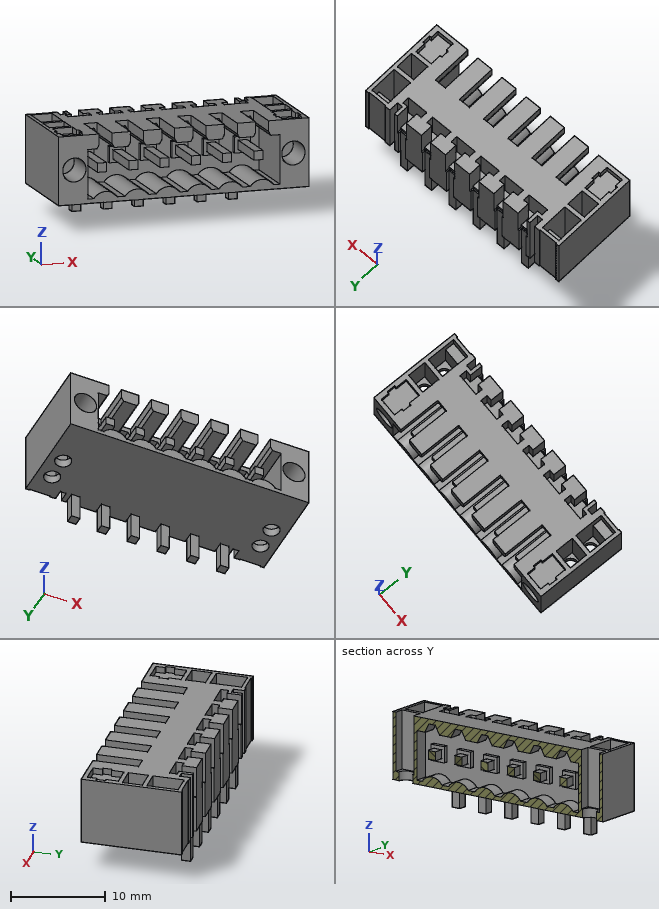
import cadquery as cq


housing_length = 28.0
housing_depth = 11.05
housing_height = 7.5
pin_count = 6
pin_pitch = 3.5
pin_size = 1.0
wall = 0.5

pin_axis_height = 3.53
pin_tip_setback = 1.2
pin_back_setback = 0.35
pin_tail_length = 3.15

cavity_length = 21.5
cavity_roof_height = 5.9
cavity_depth = 7.0
floor_bump_radius = 1.64
floor_bump_height = 0.68
notch_top_height = 6.9
notch_top_width = 0.8
notch_bottom_width = 1.95
slot_width = 1.45
slot_depth = 5.05
collar_size = 1.78
collar_length = 0.5

tee_stem_width = 1.32
tee_stem_length = 1.6
tee_head_width = 2.64
tee_head_length = 0.85
tee_floor_height = 4.4
tee_ledge_depth = 0.5

end_center = 12.25
screw_hole_diameter = 2.6
screw_hole_height = 3.78
peg_hole_diameter = 1.8
end_pocket_width = 2.36
end_pocket_inner_edge = 11.19
end_pocket_floor_height = 1.0
middle_pocket_length = 2.2
back_pocket_step_length = 1.1
back_pocket_step_height = 5.75
back_peg_hole_setback = 2.85
nut_pocket_width = 2.2
nut_pocket_length = 3.4
nut_pocket_drop = 0.7
nut_pocket_ear_span = 2.7
nut_pocket_ear_length = 1.0
nut_pocket_ear_start = 1.53
back_relief_depth = 0.1
end_notch_center = 10.15
end_notch_width = 0.68
end_notch_depth = 1.2

pin_xs = [(i - (pin_count - 1) / 2) * pin_pitch for i in range(pin_count)]
pin_bottom = pin_axis_height - pin_size / 2
pin_top = pin_axis_height + pin_size / 2
pin_back = housing_depth - pin_back_setback
end_pocket_center = end_pocket_inner_edge + end_pocket_width / 2
middle_pocket_front = wall + nut_pocket_length + wall
back_pocket_front = middle_pocket_front + middle_pocket_length + wall
back_pocket_back = housing_depth - wall


def block(x_center, width, y_range, z_range):
    """Box centred on x_center that fills the given Y and Z ranges."""
    y_min, y_max = y_range
    z_min, z_max = z_range
    return (
        cq.Workplane("XY")
        .box(width, y_max - y_min, z_max - z_min, centered=(True, False, False))
        .translate((x_center, y_min, z_min))
    )


def rod(x, z, radius, length):
    """Cylinder along +Y that starts at the mating face."""
    return cq.Workplane("XZ").center(x, z).circle(radius).extrude(-length)


def floor_bump(x):
    """Rounded rib on the cavity floor below one pin."""
    axis_height = wall + floor_bump_height - floor_bump_radius
    above_floor = block(x, pin_pitch, (0, cavity_depth), (wall, cavity_roof_height))
    return rod(x, axis_height, floor_bump_radius, cavity_depth).intersect(above_floor)


def roof_notch(x):
    """Tapered groove in the cavity roof above one pin."""
    return (
        cq.Workplane("XZ")
        .moveTo(x - notch_bottom_width / 2, cavity_roof_height)
        .lineTo(x - notch_top_width / 2, notch_top_height)
        .lineTo(x + notch_top_width / 2, notch_top_height)
        .lineTo(x + notch_bottom_width / 2, cavity_roof_height)
        .close()
        .extrude(-cavity_depth)
    )


def pin_collar(x):
    """Square boss around one pin on the back wall of the cavity."""
    z_range = (pin_axis_height - collar_size / 2, pin_axis_height + collar_size / 2)
    return block(x, collar_size, (cavity_depth - collar_length, cavity_depth), z_range)


def mating_cavity():
    """Space for the plug: floor ribs and collars stay, roof notches and slots open up."""
    cavity = block(0, cavity_length, (0, cavity_depth), (wall, cavity_roof_height))
    for x in pin_xs:
        cavity = cavity.cut(floor_bump(x)).cut(pin_collar(x))
        cavity = cavity.union(roof_notch(x))
        cavity = cavity.union(block(x, slot_width, (0, slot_depth), (cavity_roof_height, housing_height)))
    return cavity


def tee_opening(x):
    """T-shaped well at the back edge above one pin, with a lower ledge at the very back."""
    stem_front = housing_depth - tee_stem_length
    head_front = stem_front - tee_head_length
    ledge_front = housing_depth - tee_ledge_depth
    well = (tee_floor_height, housing_height)
    head = block(x, tee_head_width, (head_front, stem_front), well)
    stem = block(x, tee_stem_width, (stem_front, housing_depth), well)
    ledge = block(x, tee_stem_width, (ledge_front, housing_depth), (pin_top, housing_height))
    return head.union(stem).union(ledge)


def pin_passage(x):
    """Slot from the back and from below, shaped to take the bent pin."""
    leg = block(x, pin_size, (pin_back - pin_size, housing_depth), (0, pin_top))
    arm = block(x, pin_size, (cavity_depth - collar_length, pin_back), (pin_bottom, pin_top))
    return leg.union(arm)


def end_openings(side):
    """Screw hole, pockets, peg holes and back cuts of one end; side is -1 or +1."""
    hole_x = side * end_center
    pocket_x = side * end_pocket_center
    full_height = (0, housing_height)
    pocket_heights = (end_pocket_floor_height, housing_height)

    screw_hole = rod(hole_x, screw_hole_height, screw_hole_diameter / 2, wall + nut_pocket_length)

    middle_back = middle_pocket_front + middle_pocket_length
    middle_pocket = block(pocket_x, end_pocket_width, (middle_pocket_front, middle_back), pocket_heights)

    back_pocket = block(pocket_x, end_pocket_width, (back_pocket_front, back_pocket_back), pocket_heights)
    step_front = back_pocket_back - back_pocket_step_length
    step_heights = (end_pocket_floor_height, back_pocket_step_height)
    back_pocket = back_pocket.cut(
        block(pocket_x, end_pocket_width, (step_front, back_pocket_back), step_heights)
    )

    peg_hole_ys = [middle_pocket_front + middle_pocket_length / 2, housing_depth - back_peg_hole_setback]
    peg_holes = (
        cq.Workplane("XY")
        .pushPoints([(hole_x, y) for y in peg_hole_ys])
        .circle(peg_hole_diameter / 2)
        .extrude(housing_height)
    )

    nut_heights = (housing_height - nut_pocket_drop, housing_height)
    ear_range = (nut_pocket_ear_start, nut_pocket_ear_start + nut_pocket_ear_length)
    nut_pocket = block(hole_x, nut_pocket_width, (wall, wall + nut_pocket_length), nut_heights)
    nut_pocket = nut_pocket.union(block(hole_x, nut_pocket_ear_span, ear_range, nut_heights))

    relief_range = (housing_depth - back_relief_depth, housing_depth)
    back_relief = block(pocket_x, end_pocket_width, relief_range, full_height)

    notch_range = (housing_depth - end_notch_depth, housing_depth)
    end_notch = block(side * end_notch_center, end_notch_width, notch_range, full_height)

    return [screw_hole, middle_pocket, back_pocket, peg_holes, nut_pocket, back_relief, end_notch]


def make_housing():
    body = block(0, housing_length, (0, housing_depth), (0, housing_height))
    body = body.cut(mating_cavity())
    for x in pin_xs:
        body = body.cut(tee_opening(x)).cut(pin_passage(x))
    for side in (-1, 1):
        for opening in end_openings(side):
            body = body.cut(opening)
    return body


def make_pin(x):
    """Square pin: an arm along Y into the cavity and a tail down past the underside."""
    arm = block(x, pin_size, (pin_tip_setback, pin_back), (pin_bottom, pin_top))
    tail = block(x, pin_size, (pin_back - pin_size, pin_back), (-pin_tail_length, pin_top))
    return arm.union(tail)


housing = make_housing()
pins = [make_pin(x) for x in pin_xs]

result = cq.Compound.makeCompound([housing.val(), *[pin.val() for pin in pins]])